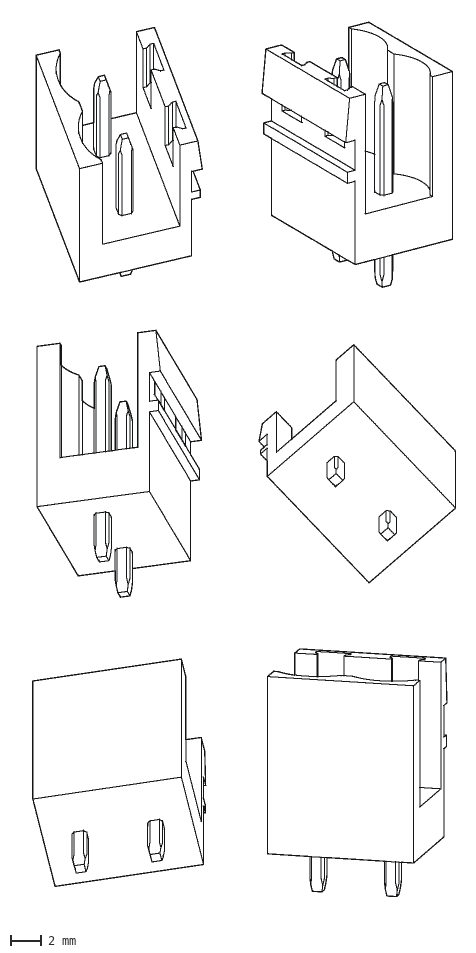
import cadquery as cq


WIDTH = 9.95
HOUSING_HEIGHT = 12.0
FLOOR_HEIGHT = 3.44
FRONT_WALL = 1.58
BACK_INNER_Y = 6.89
BACK_OUTER_Y = 7.69

HOOK_BOTTOM_Z = 8.89
HOOK_TOP_Y = 8.13
HOOK_TIP_Y = 8.44
RIB_Y = 8.3
RIB_BOTTOM_Z = 5.96
RIB_TOP_Z = 6.75

SCALLOP_CHORD = 4.27
SCALLOP_DEPTH = 0.79

SLOT_MOUTH = 1.84
SLOT_WIDTH = 2.34
SLOT_NECK_Y = 7.13
SLOT_SHOULDER_Y = 7.45
SLOT_BOTTOM_Z = 7.9

PITCH = 5.08
PIN_POSITIONS = [-PITCH / 2, PITCH / 2]
PIN_Y = 3.82
PIN_SIZE = 1.0
PIN_CHAMFER = 0.18
PIN_TOP_Z = 11.11
PIN_BOTTOM_Z = HOUSING_HEIGHT - 15.2
TOP_TIP_SIZE = 0.43
TOP_TAPER = 1.26
BOTTOM_TIP_SIZE = 0.65
BOTTOM_TAPER = 0.95


def make_housing_blank():
    """U-shaped profile with the hook and rib, extruded across the full width."""
    profile = [
        (0, 0),
        (0, HOUSING_HEIGHT),
        (FRONT_WALL, HOUSING_HEIGHT),
        (FRONT_WALL, FLOOR_HEIGHT),
        (BACK_INNER_Y, FLOOR_HEIGHT),
        (BACK_INNER_Y, HOUSING_HEIGHT),
        (HOOK_TOP_Y, HOUSING_HEIGHT),
        (HOOK_TIP_Y, HOOK_BOTTOM_Z),
        (BACK_OUTER_Y, HOOK_BOTTOM_Z),
        (BACK_OUTER_Y, RIB_TOP_Z),
        (RIB_Y, RIB_TOP_Z),
        (RIB_Y, RIB_BOTTOM_Z),
        (BACK_OUTER_Y, RIB_BOTTOM_Z),
        (BACK_OUTER_Y, 0),
    ]
    return cq.Workplane("YZ").polyline(profile).close().extrude(WIDTH / 2, both=True)


def make_scallop(x):
    """Circular-segment recess in the inner face of the front wall, down to the floor."""
    return (
        cq.Workplane("XY", origin=(x, FRONT_WALL, FLOOR_HEIGHT))
        .moveTo(-SCALLOP_CHORD / 2, 0)
        .threePointArc((0, -SCALLOP_DEPTH), (SCALLOP_CHORD / 2, 0))
        .close()
        .extrude(HOUSING_HEIGHT - FLOOR_HEIGHT)
    )


def make_slot(x):
    """Dovetail slot, as deep as the back wall, so it opens through below the hook."""
    half_outline = [
        (SLOT_MOUTH / 2, BACK_INNER_Y),
        (SLOT_MOUTH / 2, SLOT_NECK_Y),
        (SLOT_WIDTH / 2, SLOT_SHOULDER_Y),
        (SLOT_WIDTH / 2, BACK_OUTER_Y),
    ]
    mirrored = [(-px, py) for px, py in reversed(half_outline)]
    return (
        cq.Workplane("XY", origin=(x, 0, SLOT_BOTTOM_Z))
        .polyline(half_outline + mirrored)
        .close()
        .extrude(HOUSING_HEIGHT - SLOT_BOTTOM_Z)
    )


def make_taper(tip_size, tip_z, base_z):
    """Square frustum from the full pin size at base_z to tip_size at tip_z."""
    return (
        cq.Workplane("XY", origin=(0, 0, base_z))
        .rect(PIN_SIZE, PIN_SIZE)
        .workplane(offset=tip_z - base_z)
        .rect(tip_size, tip_size)
        .loft(ruled=True)
    )


def make_pin(x):
    """Square pin with chamfered long edges and a tapered tip at each end."""
    shaft_bottom = PIN_BOTTOM_Z + BOTTOM_TAPER
    shaft_top = PIN_TOP_Z - TOP_TAPER
    tapered = (
        cq.Workplane("XY", origin=(0, 0, shaft_bottom))
        .rect(PIN_SIZE, PIN_SIZE)
        .extrude(shaft_top - shaft_bottom)
        .union(make_taper(TOP_TIP_SIZE, PIN_TOP_Z, shaft_top))
        .union(make_taper(BOTTOM_TIP_SIZE, PIN_BOTTOM_Z, shaft_bottom))
    )
    chamfered_bar = (
        cq.Workplane("XY", origin=(0, 0, PIN_BOTTOM_Z))
        .rect(PIN_SIZE, PIN_SIZE)
        .extrude(PIN_TOP_Z - PIN_BOTTOM_Z)
        .edges("|Z")
        .chamfer(PIN_CHAMFER)
    )
    return tapered.intersect(chamfered_bar).translate((x, PIN_Y, 0))


pins = [make_pin(x) for x in PIN_POSITIONS]

housing = make_housing_blank()
for position, pin in zip(PIN_POSITIONS, pins):
    housing = housing.cut(make_scallop(position))
    housing = housing.cut(make_slot(position))
    housing = housing.cut(pin)

result = cq.Compound.makeCompound([housing.solids().val(), *[pin.solids().val() for pin in pins]])